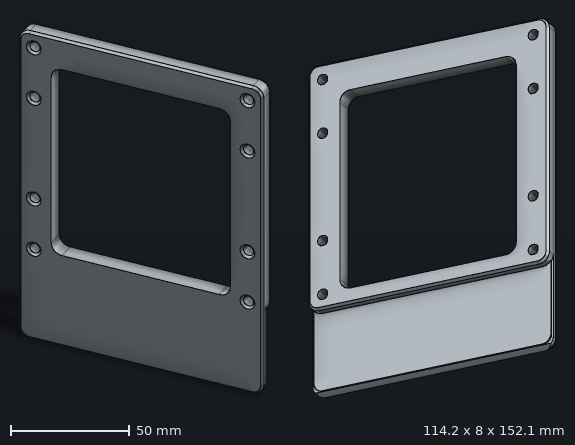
import cadquery as cq

width = 114.2
thickness = 8.0
height = 152.1

corner_radius = 5.0
edge_chamfer = 1.0

step_height = 38.0
lip_thickness = 3.3
lip_bevel_height = 2.0
lip_bevel_depth = 2.1

panel_height = 0.6
panel_side_margin = 0.8
panel_bottom_margin = 2.1
panel_radius = 4.3

window_width = 83.7
window_height = 92.0
window_top_margin = 14.9
window_radius = 5.0

hole_diameter = 4.7
countersink_diameter = 6.8
countersink_angle = 90
hole_spacing_x = 100.0
hole_top_margin = 7.5
hole_pitch = 25.0
hole_rows = (0, 1, 3, 4)


def plate(bottom, front, back):
    """Rounded upright plate from Z = bottom to the top, between two Y planes."""
    return (
        cq.Workplane("XZ", origin=(0, front, (bottom + height) / 2))
        .rect(width, height - bottom)
        .extrude(front - back)
        .edges("|Y")
        .fillet(corner_radius)
    )


front_plate = plate(0, 0, lip_thickness).faces("<Y").edges().chamfer(edge_chamfer)
lip_bevel = (
    cq.Workplane("YZ")
    .moveTo(lip_thickness - lip_bevel_depth, 0)
    .lineTo(lip_thickness, 0)
    .lineTo(lip_thickness, lip_bevel_height)
    .close()
    .extrude(width, both=True)
)
front_plate = front_plate.cut(lip_bevel)

frame = plate(step_height, edge_chamfer, thickness).faces(">Y").edges().chamfer(edge_chamfer)

panel_top = step_height + corner_radius
panel = (
    cq.Workplane("XZ", origin=(0, lip_thickness, (panel_bottom_margin + panel_top) / 2))
    .rect(width - 2 * panel_side_margin, panel_top - panel_bottom_margin)
    .extrude(-panel_height)
    .edges("|Y")
    .fillet(panel_radius)
)
result = front_plate.union(frame).union(panel)

window_center_z = height - window_top_margin - window_height / 2
window = (
    cq.Workplane("XZ", origin=(0, 0, window_center_z))
    .rect(window_width, window_height)
    .extrude(-thickness)
    .edges("|Y")
    .fillet(window_radius)
)
result = result.cut(window)

hole_points = [
    (side * hole_spacing_x / 2, height - hole_top_margin - row * hole_pitch)
    for side in (-1, 1)
    for row in hole_rows
]
result = (
    result.copyWorkplane(cq.Workplane("XZ"))
    .pushPoints(hole_points)
    .cskHole(hole_diameter, countersink_diameter, countersink_angle)
)